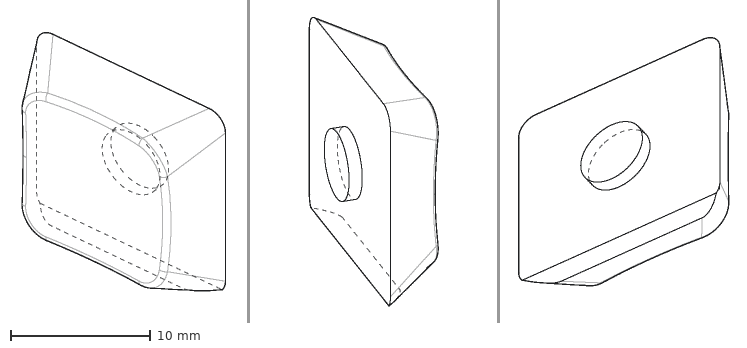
import cadquery as cq


back_width = 17.3
back_height = 16.3
back_corner_radius = 1.5

front_width = 12.55
front_height = 12.6
front_corner_radius = 2.5
front_depth = 5.0

dish_radius = 33.5
dish_center_depth = 3.63
rim_fillet = 0.5

total_height = 15.7
trim_level = back_height / 2 - total_height

stem_diameter = 5.3
stem_length = 1.0


def rounded_rectangle(width, height, radius):
    return cq.Sketch().rect(width, height).vertices().fillet(radius)


def tapered_body():
    """Ruled loft: flat sloping sides joined by conical corners."""
    back = rounded_rectangle(back_width, back_height, back_corner_radius)
    front = rounded_rectangle(front_width, front_height, front_corner_radius)
    front = front.moved(cq.Location(cq.Vector(0, 0, front_depth)))
    return cq.Workplane("XZ").placeSketch(back, front).loft(ruled=True)


def dish_ball():
    """Ball whose back pole touches the dish center; its seam lies towards -X."""
    ball_center = -(dish_center_depth + dish_radius)
    profile = (
        cq.Workplane("XY")
        .moveTo(0, ball_center - dish_radius)
        .threePointArc((-dish_radius, ball_center), (0, ball_center + dish_radius))
        .close()
    )
    return profile.revolve(360, (0, 0, 0), (0, 1, 0))


def lower_trim():
    """Oversized block below the trim level."""
    block_side = 2 * back_width
    trim_plane = cq.Workplane("XY", origin=(0, 0, trim_level))
    return trim_plane.rect(block_side, block_side).extrude(-back_height)


def stem():
    return cq.Workplane("XZ").circle(stem_diameter / 2).extrude(-stem_length)


dished_body = tapered_body().cut(dish_ball())
rounded_body = dished_body.faces("%SPHERE").edges().fillet(rim_fillet)
result = rounded_body.cut(lower_trim()).union(stem())